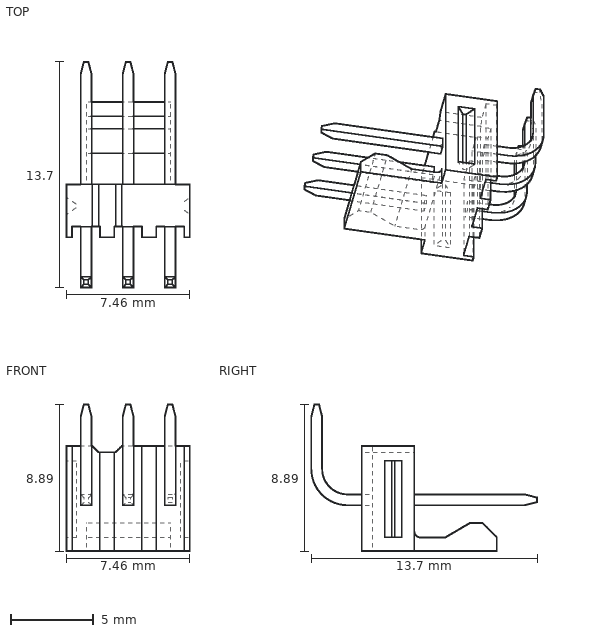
import cadquery as cq


pin_count = 3
pitch = 2.54
pin_width = 0.67
pin_axis_height = 3.1
pin_back = 10.62
pin_front = -3.05
pin_top = 8.89
bend_inner_radius = 1.53
tip_length = 0.75
tip_width = 0.29

body_width = 7.46
body_depth = 3.2
body_height = 6.37
recess_depth = 0.64
end_rib_width = 0.34
middle_rib_width = 0.87

notch_depth = 0.38
notch_floor_width = 1.03

pocket_width = 1.03
pocket_floor_width = 0.19
pocket_depth = 0.59
pocket_bottom = 0.83
pocket_height = 4.62
pocket_middle = 1.91

latch_length = 4.99
latch_thickness = 0.83
latch_peak = 1.71
latch_peak_length = 0.75
latch_slope_length = 1.49
latch_root_radius = 0.37

pin_positions = [(i - (pin_count - 1) / 2) * pitch for i in range(pin_count)]
gap_positions = [x + pitch / 2 for x in pin_positions[:-1]]
row_width = (pin_count - 1) * pitch


def make_housing():
    """Ribbed block with a keying notch and tapered end pockets."""
    housing = cq.Workplane("XY").box(
        body_width, body_depth - recess_depth, body_height, centered=(True, False, False)
    ).translate((0, recess_depth, 0))

    end_rib_offset = (body_width - end_rib_width) / 2
    ribs = [(-end_rib_offset, end_rib_width), (end_rib_offset, end_rib_width)]
    ribs += [(x, middle_rib_width) for x in gap_positions]
    for x, width in ribs:
        rib = cq.Workplane("XY").box(width, body_depth, body_height, centered=(True, False, False))
        housing = housing.union(rib.translate((x, 0, 0)))

    housing = housing.cut(make_notch(gap_positions[0]))
    pocket = make_left_pocket()
    return housing.cut(pocket).cut(pocket.mirror("YZ"))


def make_notch(x_middle):
    """Trapezoidal groove running through the full depth of the housing top."""
    floor_half = notch_floor_width / 2
    top_half = floor_half + notch_depth
    floor_height = body_height - notch_depth
    return (
        cq.Workplane("XZ")
        .polyline([
            (x_middle - floor_half, floor_height),
            (x_middle + floor_half, floor_height),
            (x_middle + top_half, body_height),
            (x_middle - top_half, body_height),
        ])
        .close()
        .extrude(-body_depth)
    )


def make_left_pocket():
    """Vertical pocket in the -X end, narrowing towards its floor."""
    face = -body_width / 2
    floor = face + pocket_depth
    return (
        cq.Workplane("XY")
        .workplane(offset=pocket_bottom)
        .polyline([
            (face, pocket_middle - pocket_width / 2),
            (floor, pocket_middle - pocket_floor_width / 2),
            (floor, pocket_middle + pocket_floor_width / 2),
            (face, pocket_middle + pocket_width / 2),
        ])
        .close()
        .extrude(pocket_height)
    )


def make_latch():
    """Hooked arm reaching back from the foot of the housing."""
    end = body_depth + latch_length
    lead_in = latch_peak - latch_thickness
    peak_back = end - lead_in
    peak_front = peak_back - latch_peak_length
    valley = peak_front - latch_slope_length
    return (
        cq.Workplane("YZ")
        .moveTo(body_depth, 0)
        .lineTo(end, 0)
        .lineTo(end, latch_thickness)
        .lineTo(peak_back, latch_peak)
        .lineTo(peak_front, latch_peak)
        .lineTo(valley, latch_thickness)
        .lineTo(body_depth + latch_root_radius, latch_thickness)
        .radiusArc((body_depth, latch_thickness + latch_root_radius), latch_root_radius)
        .close()
        .extrude(row_width / 2, both=True)
    )


def make_pin():
    """Square pin bent through 90 degrees, with both ends tapered."""
    half = pin_width / 2
    bend_radius = bend_inner_radius + half
    upright_y = pin_front + half
    path = (
        cq.Workplane("YZ")
        .moveTo(pin_back - tip_length, pin_axis_height)
        .lineTo(upright_y + bend_radius, pin_axis_height)
        .radiusArc((upright_y, pin_axis_height + bend_radius), bend_radius)
        .lineTo(upright_y, pin_top - tip_length)
    )
    shank = (
        cq.Workplane("XZ", origin=(0, pin_back - tip_length, pin_axis_height))
        .rect(pin_width, pin_width)
        .sweep(path)
    )
    upper_tip = make_tip(cq.Plane((0, upright_y, pin_top - tip_length), (1, 0, 0), (0, 0, 1)))
    mating_tip = make_tip(cq.Plane((0, pin_back - tip_length, pin_axis_height), (1, 0, 0), (0, 1, 0)))
    return shank.union(upper_tip).union(mating_tip)


def make_tip(base_plane):
    """Square pyramid frustum standing on the given plane."""
    return (
        cq.Workplane(base_plane)
        .rect(pin_width, pin_width)
        .workplane(offset=tip_length)
        .rect(tip_width, tip_width)
        .loft(ruled=True)
    )


result = make_housing().union(make_latch())
pin = make_pin()
for pin_x in pin_positions:
    result = result.union(pin.translate((pin_x, 0, 0)))